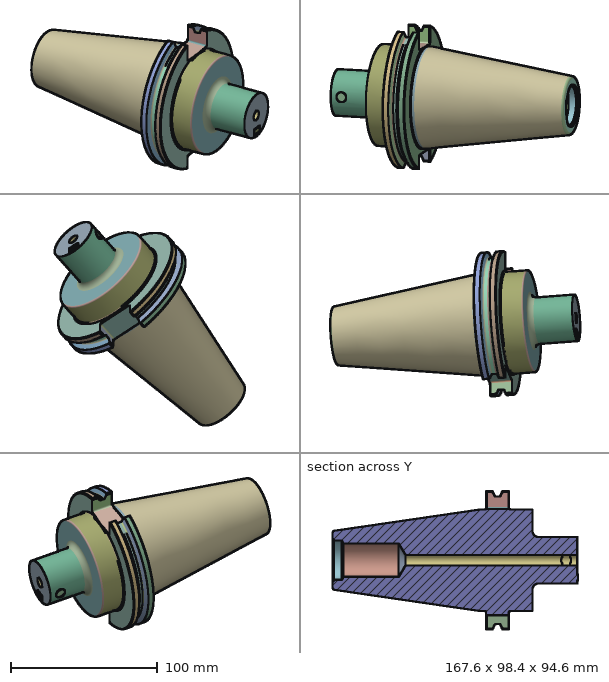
import cadquery as cq
import math

total_length = 167.6

gauge_diameter = 69.9
gauge_x = 101.7
taper_ratio = 7 / 24
taper_end_round = 1.8

flange_diameter = 98.4
flange_start_x = 104.8
flange_width = 15.6
flange_edge_chamfer = 0.5
flange_front_root_round = 0.5
flange_back_root_round = 0.8
groove_center_x = 112.6
groove_top_width = 7.0
groove_depth = 3.9
groove_half_angle = 25.0
groove_corner_round = 1.0

slot_width = 25.5
top_slot_floor = 35.0
bottom_slot_floor = 37.5
slot_corner_round = 1.0
slot_edge_chamfer = 0.8

shoulder_end_x = 136.6
shoulder_edge_round = 1.0
nose_diameter = 32.0
nose_root_round = 4.0

pad_height = 0.5
pad_width = 7.4
pad_depth = 4.4
pad_y = 0.7
pad_z = -11.7

mouth_diameter = 26.5
mouth_depth = 6.4
mouth_round = 1.2
thread_bore_diameter = 22.3
thread_bore_end_x = 45.3
passage_diameter = 6.9
drill_point_angle = 118.0

screw_diameter = 6.9
screw_x = 159.4

gauge_radius = gauge_diameter / 2
flange_radius = flange_diameter / 2
flange_end_x = flange_start_x + flange_width
nose_radius = nose_diameter / 2
nose_end_x = total_length - pad_height
passage_radius = passage_diameter / 2


def revolved(points):
    """Turn an outline of (x, radius) points around the X axis."""
    return cq.Workplane("XZ").polyline(points).close().revolve(360, (0, 0, 0), (1, 0, 0))


def circle_at(body, x, radius):
    """Pick the edges of a turned body that are circles of this radius at this x."""
    tolerance = 0.02

    def matches(edge):
        return (
            edge.geomType() == "CIRCLE"
            and abs(edge.Center().x - x) < tolerance
            and abs(edge.radius() - radius) < tolerance
        )

    return body.edges().filter(matches)


def drill_point_length(large_radius, small_radius):
    """Axial length of a drill-point cone between two radii."""
    return (large_radius - small_radius) / math.tan(math.radians(drill_point_angle / 2))


def make_turned_blank():
    """Taper, gauge cylinder, flange, shoulder and nose in one turned piece."""
    taper_end_radius = gauge_radius - gauge_x * taper_ratio / 2
    blank = revolved([
        (0, 0),
        (0, taper_end_radius),
        (gauge_x, gauge_radius),
        (flange_start_x, gauge_radius),
        (flange_start_x, flange_radius),
        (flange_end_x, flange_radius),
        (flange_end_x, gauge_radius),
        (shoulder_end_x, gauge_radius),
        (shoulder_end_x, nose_radius),
        (nose_end_x, nose_radius),
        (nose_end_x, 0),
    ])
    for x in (flange_start_x, flange_end_x):
        blank = circle_at(blank, x, flange_radius).chamfer(flange_edge_chamfer)
    for x, radius, round_radius in (
        (0, taper_end_radius, taper_end_round),
        (flange_start_x, gauge_radius, flange_front_root_round),
        (flange_end_x, gauge_radius, flange_back_root_round),
        (shoulder_end_x, gauge_radius, shoulder_edge_round),
        (shoulder_end_x, nose_radius, nose_root_round),
    ):
        blank = circle_at(blank, x, radius).fillet(round_radius)
    return blank


def make_groove_cutter():
    """Ring with a V section, flat at its floor and rounded where the sides meet it."""
    overcut = 1.7
    side_slope = math.tan(math.radians(groove_half_angle))
    floor_radius = flange_radius - groove_depth
    floor_half = groove_top_width / 2 - groove_depth * side_slope
    outer_half = groove_top_width / 2 + overcut * side_slope
    cutter = revolved([
        (groove_center_x - floor_half, floor_radius),
        (groove_center_x + floor_half, floor_radius),
        (groove_center_x + outer_half, flange_radius + overcut),
        (groove_center_x - outer_half, flange_radius + overcut),
    ])
    for x in (groove_center_x - floor_half, groove_center_x + floor_half):
        cutter = circle_at(cutter, x, floor_radius).fillet(groove_corner_round)
    return cutter


def make_bore_cutter():
    """Stepped bore with a rounded mouth, running through to the tip of the nose."""
    mouth_radius = mouth_diameter / 2
    thread_radius = thread_bore_diameter / 2
    return (
        cq.Workplane("XZ")
        .moveTo(0, 0)
        .lineTo(0, mouth_radius + mouth_round)
        .radiusArc((mouth_round, mouth_radius), mouth_round)
        .lineTo(mouth_depth, mouth_radius)
        .lineTo(mouth_depth + drill_point_length(mouth_radius, thread_radius), thread_radius)
        .lineTo(thread_bore_end_x, thread_radius)
        .lineTo(thread_bore_end_x + drill_point_length(thread_radius, passage_radius), passage_radius)
        .lineTo(nose_end_x, passage_radius)
        .lineTo(nose_end_x, 0)
        .close()
        .revolve(360, (0, 0, 0), (1, 0, 0))
    )


def make_slot_cutter(floor_z):
    """Bar that mills a slot at +Z down to the floor and chamfers the edges of its walls."""
    overcut = 1.7
    half_width = slot_width / 2
    flared_half_width = half_width + slot_edge_chamfer
    height = flange_radius + overcut - floor_z
    bar = (
        cq.Workplane("XY")
        .box(shoulder_end_x - gauge_x, slot_width, height, centered=(False, True, False))
        .edges("|X and <Z")
        .fillet(slot_corner_round)
        .translate((gauge_x, 0, floor_z))
    )
    face_flare = (
        cq.Workplane("XY", origin=(flange_start_x, 0, floor_z + slot_corner_round))
        .polyline([
            (0, -flared_half_width),
            (slot_edge_chamfer, -half_width),
            (slot_edge_chamfer, half_width),
            (0, flared_half_width),
        ])
        .close()
        .extrude(height)
    )
    rim_z = math.sqrt(flange_radius**2 - flared_half_width**2)
    rim_flare = (
        cq.Workplane("YZ", origin=(flange_start_x, 0, rim_z))
        .polyline([
            (-half_width, -slot_edge_chamfer),
            (half_width, -slot_edge_chamfer),
            (flared_half_width, 0),
            (flared_half_width, overcut),
            (-flared_half_width, overcut),
            (-flared_half_width, 0),
        ])
        .close()
        .extrude(flange_width)
    )
    return bar.union(face_flare).union(rim_flare)


def cut_drive_slots(body):
    """Mill the two drive slots, the one at -Z with a floor farther out."""
    body = body.cut(make_slot_cutter(top_slot_floor))
    return body.cut(make_slot_cutter(bottom_slot_floor).mirror("XY"))


def make_pad():
    """Low rectangular pad near the -Z edge of the nose's end face."""
    return (
        cq.Workplane("YZ", origin=(nose_end_x, pad_y, pad_z))
        .rect(pad_width, pad_depth)
        .extrude(pad_height)
    )


def make_screw():
    """Plain set screw, from the axial passage out to the height of the nose surface."""
    return (
        cq.Workplane("XZ", origin=(screw_x, passage_radius, 0))
        .circle(screw_diameter / 2)
        .extrude(passage_radius - nose_radius)
    )


screw = make_screw()
holder = make_turned_blank().cut(make_groove_cutter())
holder = cut_drive_slots(holder).cut(make_bore_cutter()).union(make_pad()).cut(screw)
result = cq.Compound.makeCompound([holder.val(), screw.val()])